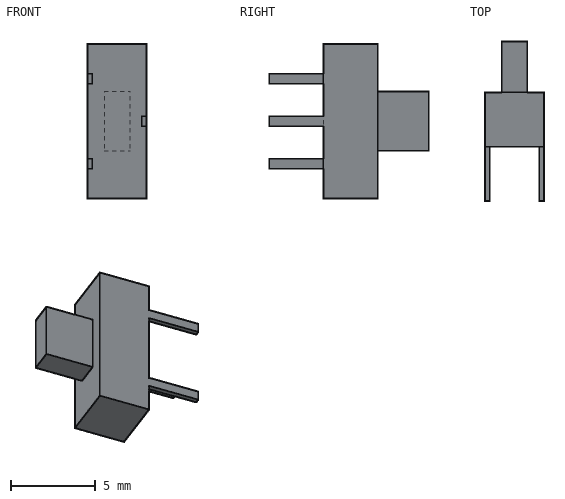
import cadquery as cq

body_width = 3.5
body_depth = 3.2
body_height = 9.1

knob_width = 1.5
knob_length = 3.01
knob_height = 3.5

pin_thickness = 0.3
pin_length = 3.2
pin_height = 0.6
pin_pitch = 2.5

body_back = body_depth / 2
body_front = -body_depth / 2
pin_offset = (body_width - pin_thickness) / 2


def make_body():
    return cq.Workplane("XY").box(body_width, body_depth, body_height)


def make_knob():
    knob_center = (0, body_back + knob_length / 2, 0)
    return cq.Workplane("XY").box(knob_width, knob_length, knob_height).translate(knob_center)


def make_pin(side, level):
    """Pin on the -X (side -1) or +X (side 1) edge, a number of pitches above mid-height."""
    pin_center = (side * pin_offset, body_front - pin_length / 2, level * pin_pitch)
    return cq.Workplane("XY").box(pin_thickness, pin_length, pin_height).translate(pin_center)


result = make_body().union(make_knob())
for side, level in [(-1, 1), (1, 0), (-1, -1)]:
    result = result.union(make_pin(side, level))